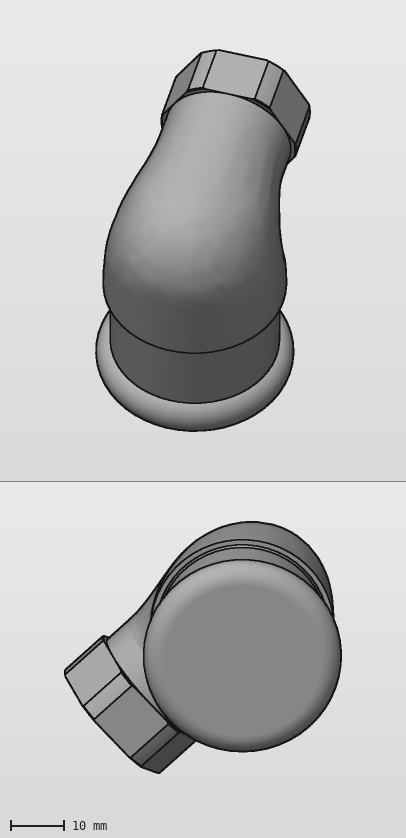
import cadquery as cq
import math


bead_diameter = 36.65
bead_height = 7.4
socket_diameter = 31.4
collar_diameter = 34.0
collar_bottom = 23.0
collar_top = 25.0
socket_flare_height = 0.75
socket_flare_width = 0.3

outlet_diameter = 24.0
outlet_end = 33.0
hexagon_start = 23.15
elbow_end = 17.95
overall_height = 51.0
hexagon_corner_diameter = 26.0
hexagon_end_diameter = 25.6

outer_bend_radius = 14.4
elbow_steps = 15

collar_radius = collar_diameter / 2
socket_radius = socket_diameter / 2
outlet_radius = outlet_diameter / 2
outlet_height = overall_height - outlet_radius


def make_socket():
    """Bead, tube, flare and collar as one turned profile of (radius, height)."""
    bead_round = bead_height / 2
    bead_centre_radius = bead_diameter / 2 - bead_round
    bead_top = bead_round + math.sqrt(bead_round**2 - (socket_radius - bead_centre_radius) ** 2)
    profile = (
        cq.Workplane("XZ")
        .lineTo(bead_centre_radius, 0)
        .threePointArc((bead_diameter / 2, bead_round), (socket_radius, bead_top))
        .lineTo(socket_radius, collar_bottom - socket_flare_height)
        .lineTo(socket_radius + socket_flare_width, collar_bottom)
        .lineTo(collar_radius, collar_bottom)
        .lineTo(collar_radius, collar_top)
        .lineTo(0, collar_top)
        .close()
    )
    return profile.revolve(360, (0, 0, 0), (0, 1, 0))


def outer_bend_point(angle):
    """Point (y, z) on the outside of the elbow, along a ray at this angle from the inner corner."""
    across = math.cos(angle)
    up = math.sin(angle)
    centre_y = outer_bend_radius - collar_radius
    centre_z = overall_height - outer_bend_radius
    centre_across = elbow_end - centre_y
    centre_up = centre_z - collar_top
    along = centre_across * across + centre_up * up
    offset = centre_up * across - centre_across * up
    if angle < math.atan2(centre_up, elbow_end + collar_radius):
        reach = (elbow_end + collar_radius) / across
    elif angle > math.atan2(overall_height - collar_top, centre_across):
        reach = (overall_height - collar_top) / up
    else:
        reach = along + math.sqrt(outer_bend_radius**2 - offset**2)
    return elbow_end - reach * across, collar_top + reach * up


def elbow_section(turn):
    """Ellipse across the elbow; turn runs from 0 at the collar to 1 at the outlet."""
    outer_y, outer_z = outer_bend_point(turn * math.pi / 2)
    inner_y = collar_radius + turn * (elbow_end - collar_radius)
    inner_z = collar_top + turn * (overall_height - outlet_diameter - collar_top)
    narrowing = (1 - math.cos(math.pi * turn)) / 2
    half_width = collar_radius + narrowing * (outlet_radius - collar_radius)
    chord_y = outer_y - inner_y
    chord_z = outer_z - inner_z
    centre = cq.Vector(0, (inner_y + outer_y) / 2, (inner_z + outer_z) / 2)
    normal = cq.Vector(0, chord_z, -chord_y)
    chord_direction = cq.Vector(0, chord_y, chord_z)
    half_chord = max(math.hypot(chord_y, chord_z) / 2, half_width)
    return cq.Wire.makeEllipse(half_chord, half_width, centre, normal, chord_direction)


def make_elbow():
    """Smooth reducing bend from the collar to the outlet."""
    sections = [elbow_section(step / elbow_steps) for step in range(elbow_steps + 1)]
    return cq.Workplane(cq.Solid.makeLoft(sections))


def outlet_plane(y):
    """Plane across the outlet axis at distance y, facing +Y."""
    return cq.Workplane(cq.Plane(origin=(0, y, outlet_height), xDir=(1, 0, 0), normal=(0, 1, 0)))


def make_outlet():
    """Round neck and hexagon, the hexagon corners turned round and chamfered at both ends."""
    neck = outlet_plane(elbow_end).circle(outlet_radius).extrude(hexagon_start - elbow_end)
    hexagon_length = outlet_end - hexagon_start
    start = outlet_plane(hexagon_start)
    turned_start = start.transformed(rotate=(0, 0, 30))
    hexagon = turned_start.polygon(6, outlet_diameter, circumscribed=True).extrude(hexagon_length)
    corner_chamfer = (hexagon_corner_diameter - hexagon_end_diameter) / 2
    cylinder = start.circle(hexagon_corner_diameter / 2).extrude(hexagon_length)
    cylinder = cylinder.faces("<Y or >Y").chamfer(corner_chamfer)
    return neck.union(hexagon.intersect(cylinder))


result = make_socket().union(make_elbow()).union(make_outlet())